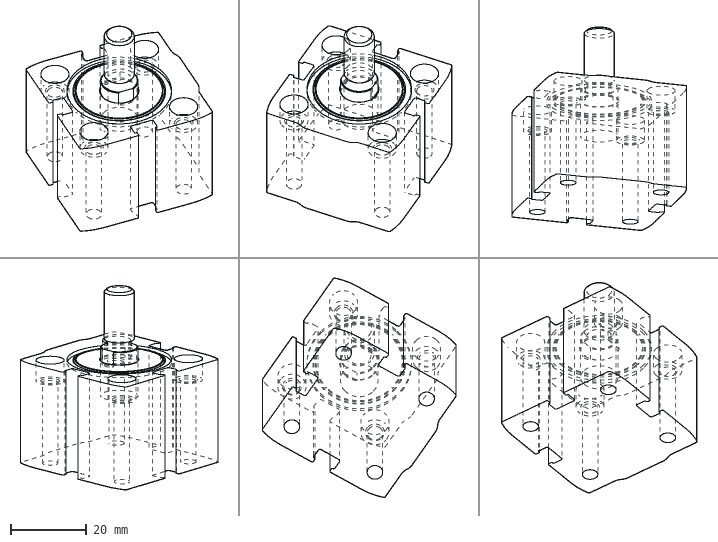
import cadquery as cq
import math

TOTAL_HEIGHT = 48.0
HOUSING_HEIGHT = 28.5
HOUSING_WIDTH = 38.5
HALF_WIDTH = HOUSING_WIDTH / 2

FLAT_SIDE_HALF_LENGTH = 12.8
BOW_LENGTH = HALF_WIDTH - FLAT_SIDE_HALF_LENGTH
SIDE_BOW_RADIUS = 19.0
CORNER_FILLET = 0.6

PAD_RISE = 1.0
PAD_TOP_HALF_LENGTH = 5.85
PAD_FOOT_HALF_LENGTH = 9.7

SLOT_DEPTH = 4.45
SLOT_LIP = 1.35
SLOT_MOUTH_WIDTH = 5.3
SLOT_INNER_WIDTH = 6.6
SLOT_MOUTH_FILLET = 0.35
SLOT_LIP_FILLET = 0.3
SLOT_FLOOR_FILLET = 0.6
SLOT_DIRECTIONS = (180, 270, 360)

HOLE_SPACING = 26.0
HOLE_DIAMETER = 4.15
COUNTERSINK_DIAMETER = 5.0
COUNTERBORE_DIAMETER = 7.5
COUNTERBORE_DEPTH = 5.75

RECESS_DIAMETER = 27.8
RECESS_DEPTH = 1.0
CREST_RADIUS = 12.35
CREST_DEPTH = 0.25
GROOVE_RADIUS = 12.05
GROOVE_DEPTH = 0.4
SHOULDER_RADIUS = 11.7
SHOULDER_DEPTH = 0.1
COVER_FACE_RADIUS = 11.45

ROD_DIAMETER = 10.0
ROD_SEAT_DEPTH = ROD_DIAMETER
BORE_CHAMFER = 0.25
COLLAR_HEIGHT = 3.5
COLLAR_CHAMFER = 0.2
FLATS_WIDTH = 9.0
FLATS_START_DEPTH = 0.7
FLATS_RUNOUT_DROP = 0.25
THREAD_DIAMETER = 8.0
THREAD_START = 5.75
THREAD_TIP_CHAMFER = 0.65
NECK_DIAMETER = 6.4
NECK_FILLET = 0.6
RELIEF_CONE_ANGLE = 50.0


def bow_point(rise):
    """Point on the bowed side, at a Y distance past the end of its flat stretch."""
    center_x = HALF_WIDTH - SIDE_BOW_RADIUS
    return center_x + math.sqrt(SIDE_BOW_RADIUS**2 - rise**2), FLAT_SIDE_HALF_LENGTH + rise


def housing_outline():
    """Square plan with bowed X sides and a smoothly raised pad on the +Y side."""
    bow_x, bow_y = bow_point(BOW_LENGTH / 2)
    corner_x, corner_y = bow_point(BOW_LENGTH)
    pad_y = HALF_WIDTH + PAD_RISE
    blend_x = (PAD_TOP_HALF_LENGTH + PAD_FOOT_HALF_LENGTH) / 2
    blend_y = HALF_WIDTH + PAD_RISE / 2
    return (
        cq.Workplane("XY")
        .moveTo(HALF_WIDTH, -FLAT_SIDE_HALF_LENGTH)
        .lineTo(HALF_WIDTH, FLAT_SIDE_HALF_LENGTH)
        .threePointArc((bow_x, bow_y), (corner_x, corner_y))
        .lineTo(PAD_FOOT_HALF_LENGTH, HALF_WIDTH)
        .tangentArcPoint((blend_x, blend_y), relative=False)
        .tangentArcPoint((PAD_TOP_HALF_LENGTH, pad_y), relative=False)
        .lineTo(-PAD_TOP_HALF_LENGTH, pad_y)
        .tangentArcPoint((-blend_x, blend_y), relative=False)
        .tangentArcPoint((-PAD_FOOT_HALF_LENGTH, HALF_WIDTH), relative=False)
        .lineTo(-corner_x, corner_y)
        .threePointArc((-bow_x, bow_y), (-HALF_WIDTH, FLAT_SIDE_HALF_LENGTH))
        .lineTo(-HALF_WIDTH, -FLAT_SIDE_HALF_LENGTH)
        .threePointArc((-bow_x, -bow_y), (-corner_x, -corner_y))
        .lineTo(corner_x, -corner_y)
        .threePointArc((bow_x, -bow_y), (HALF_WIDTH, -FLAT_SIDE_HALF_LENGTH))
        .close()
    )


def vertical_edges_near(body, points, reach=0.05):
    """Select the vertical edges that stand at the given XY points."""
    selector = None
    for x, y in points:
        box = cq.selectors.BoxSelector(
            (x - reach, y - reach, 0), (x + reach, y + reach, HOUSING_HEIGHT)
        )
        selector = box if selector is None else selector + box
    return body.edges("|Z").edges(selector)


def housing_blank():
    body = housing_outline().extrude(HOUSING_HEIGHT)
    corner_x, corner_y = bow_point(BOW_LENGTH)
    corners = [(sx * corner_x, sy * corner_y) for sx in (-1, 1) for sy in (-1, 1)]
    return vertical_edges_near(body, corners).fillet(CORNER_FILLET)


def cut_slot(body, direction):
    """Cut one full-height T-slot into the side that faces the given direction in degrees."""
    floor = HALF_WIDTH - SLOT_DEPTH
    lip = HALF_WIDTH - SLOT_LIP
    inner = SLOT_INNER_WIDTH / 2
    mouth = SLOT_MOUTH_WIDTH / 2
    angle = math.radians(direction)

    def side_points(out, half_width):
        return [
            (
                out * math.cos(angle) - across * math.sin(angle),
                out * math.sin(angle) + across * math.cos(angle),
            )
            for across in (half_width, -half_width)
        ]

    cavity = (
        cq.Workplane("XY")
        .polyline(
            [
                (floor, inner),
                (lip, inner),
                (lip, mouth),
                (HALF_WIDTH, mouth),
                (HALF_WIDTH, -mouth),
                (lip, -mouth),
                (lip, -inner),
                (floor, -inner),
            ]
        )
        .close()
        .extrude(HOUSING_HEIGHT)
        .rotate((0, 0, 0), (0, 0, 1), direction)
    )
    body = body.cut(cavity)
    body = vertical_edges_near(body, side_points(floor, inner)).fillet(SLOT_FLOOR_FILLET)
    lip_edges = side_points(lip, inner) + side_points(lip, mouth)
    body = vertical_edges_near(body, lip_edges).fillet(SLOT_LIP_FILLET)
    return vertical_edges_near(body, side_points(HALF_WIDTH, mouth)).fillet(SLOT_MOUTH_FILLET)


def mounting_hole():
    """Stepped cutter on the Z axis: counterbore, 45-degree countersink and through hole."""
    seat = HOUSING_HEIGHT - COUNTERBORE_DEPTH
    hole = HOLE_DIAMETER / 2
    countersink = COUNTERSINK_DIAMETER / 2
    counterbore = COUNTERBORE_DIAMETER / 2
    return (
        cq.Workplane("XZ")
        .polyline(
            [
                (0, 0),
                (hole, 0),
                (hole, seat - (countersink - hole)),
                (countersink, seat),
                (counterbore, seat),
                (counterbore, HOUSING_HEIGHT),
                (0, HOUSING_HEIGHT),
            ]
        )
        .close()
        .revolve()
    )


def cover_recess():
    """Ring cutter: a cone rises inward to a crest, then a shallow groove meets the cover face."""
    top = HOUSING_HEIGHT
    return (
        cq.Workplane("XZ")
        .polyline(
            [
                (RECESS_DIAMETER / 2, top),
                (RECESS_DIAMETER / 2, top - RECESS_DEPTH),
                (CREST_RADIUS, top - CREST_DEPTH),
                (GROOVE_RADIUS, top - GROOVE_DEPTH),
                (SHOULDER_RADIUS, top - SHOULDER_DEPTH),
                (COVER_FACE_RADIUS, top),
            ]
        )
        .close()
        .revolve(360, (0, 0), (0, 1))
    )


def rod_bore():
    """Blind bore that seats the rod, with a chamfered mouth."""
    radius = ROD_DIAMETER / 2
    return (
        cq.Workplane("XZ")
        .polyline(
            [
                (0, HOUSING_HEIGHT - ROD_SEAT_DEPTH),
                (radius, HOUSING_HEIGHT - ROD_SEAT_DEPTH),
                (radius, HOUSING_HEIGHT - BORE_CHAMFER),
                (radius + BORE_CHAMFER, HOUSING_HEIGHT),
                (0, HOUSING_HEIGHT),
            ]
        )
        .close()
        .revolve()
    )


def make_housing():
    body = housing_blank()
    for direction in SLOT_DIRECTIONS:
        body = cut_slot(body, direction)
    for x in (-HOLE_SPACING / 2, HOLE_SPACING / 2):
        for y in (-HOLE_SPACING / 2, HOLE_SPACING / 2):
            body = body.cut(mounting_hole().translate((x, y, 0)))
    return body.cut(cover_recess()).cut(rod_bore())


def rod_turning():
    """Turned rod: seat and collar, undercut neck with a concave fillet at each end, thread."""
    rod = ROD_DIAMETER / 2
    thread = THREAD_DIAMETER / 2
    neck = NECK_DIAMETER / 2
    tip = TOTAL_HEIGHT - HOUSING_HEIGHT
    cone_angle = math.radians(RELIEF_CONE_ANGLE)
    cos45 = math.sqrt(0.5)
    fillet_center = neck + NECK_FILLET
    cone_radius = fillet_center - NECK_FILLET * math.cos(cone_angle)
    cone_height = THREAD_START - (thread - cone_radius) / math.tan(cone_angle)
    neck_top = cone_height - NECK_FILLET * math.sin(cone_angle)
    neck_bottom = COLLAR_HEIGHT + NECK_FILLET
    return (
        cq.Workplane("XZ", origin=(0, 0, HOUSING_HEIGHT))
        .moveTo(0, -ROD_SEAT_DEPTH)
        .lineTo(rod, -ROD_SEAT_DEPTH)
        .lineTo(rod, COLLAR_HEIGHT - COLLAR_CHAMFER)
        .lineTo(rod - COLLAR_CHAMFER, COLLAR_HEIGHT)
        .lineTo(fillet_center, COLLAR_HEIGHT)
        .threePointArc(
            (fillet_center - NECK_FILLET * cos45, neck_bottom - NECK_FILLET * cos45),
            (neck, neck_bottom),
        )
        .lineTo(neck, neck_top)
        .tangentArcPoint((cone_radius, cone_height), relative=False)
        .lineTo(thread, THREAD_START)
        .lineTo(thread, tip - THREAD_TIP_CHAMFER)
        .lineTo(thread - THREAD_TIP_CHAMFER, tip)
        .lineTo(0, tip)
        .close()
        .revolve()
    )


def wrench_flat():
    """Cutter for the +X flat on the collar, sloping out to the full diameter inside the bore."""
    flat = FLATS_WIDTH / 2
    rod = ROD_DIAMETER / 2
    return (
        cq.Workplane("XZ", origin=(0, 0, HOUSING_HEIGHT))
        .polyline(
            [
                (flat, -FLATS_START_DEPTH),
                (rod, -FLATS_START_DEPTH - FLATS_RUNOUT_DROP),
                (rod, COLLAR_HEIGHT),
                (flat, COLLAR_HEIGHT),
            ]
        )
        .close()
        .extrude(rod, both=True)
    )


def make_rod():
    flat = wrench_flat()
    return rod_turning().cut(flat).cut(flat.mirror("YZ"))


housing = make_housing()
rod = make_rod()
result = cq.Compound.makeCompound([housing.solids().val(), rod.solids().val()])